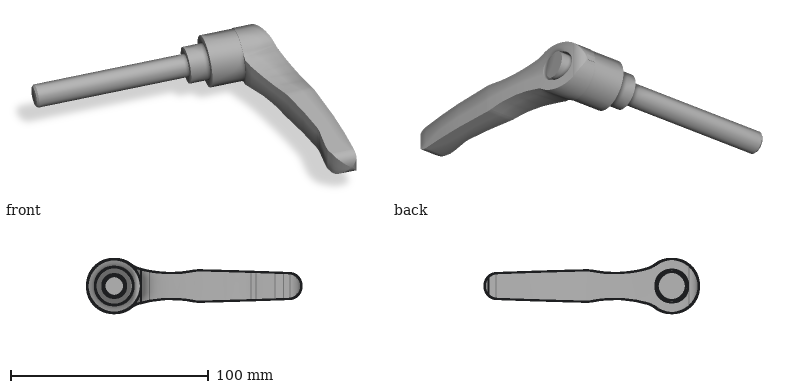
import cadquery as cq

HUB_DIAMETER = 27.0
HEAD_DIAMETER = 27.5
HEAD_RADIUS = HEAD_DIAMETER / 2
HUB_HEIGHT = 17.3
HUB_BORE_DIAMETER = 19.5
HUB_BORE_DEPTH = 10.0

COLLAR_DIAMETER = 19.0
COLLAR_LENGTH = 10.0
STUD_DIAMETER = 12.0
STUD_CHAMFER = 1.0
OVERALL_LENGTH = 142.7
OVERALL_WIDTH = 108.5

SCREW_HEAD_DIAMETER = 14.3
SCREW_HEAD_TOP = 33.1
HEAD_POCKET_DIAMETER = 16.5

TIP_X = OVERALL_WIDTH - HEAD_RADIUS
TIP_Y = 52.6
TIP_START_X = 88.7
TIP_HALF_WIDTH = 6.5
GRIP_START_X = 41.0
GRIP_FLAT_LENGTH = 2.9
GRIP_FLAT_END_X = GRIP_START_X + GRIP_FLAT_LENGTH
GRIP_HALF_WIDTH = 8.0
NECK_FILLET = 7.1
STUD_END_Y = TIP_Y - OVERALL_LENGTH


def cylinder(diameter, start_y, end_y):
    """Cylinder on the screw axis between two heights."""
    return (
        cq.Workplane("XZ", origin=(0, start_y, 0))
        .circle(diameter / 2)
        .extrude(start_y - end_y)
    )


def lever_side_profile():
    """Curved lever outline in XY, extruded past both sides of the head."""
    return (
        cq.Workplane("XY")
        .moveTo(-HEAD_RADIUS, HUB_HEIGHT)
        .lineTo(-HEAD_RADIUS, 22.3)
        .threePointArc((-12.3, 25.4), (-8.7, 27.5))
        .threePointArc((GRIP_START_X, 44.4), (TIP_START_X, 52.4))
        .lineTo(92.7, TIP_Y)
        .threePointArc((94.2, 51.4), (TIP_X, 49.1))
        .threePointArc((93.2, 44.2), (TIP_START_X, 40.7))
        .lineTo(85.5, 39.4)
        .lineTo(81.2, 39.1)
        .lineTo(71.6, 39.1)
        .lineTo(69.0, 38.7)
        .threePointArc((GRIP_START_X, 29.8), (17.8, 19.1))
        .lineTo(HUB_DIAMETER / 2, HUB_HEIGHT)
        .close()
        .extrude(HEAD_DIAMETER, both=True)
    )


def lever_plan():
    """Round head and waisted arm with a round tip, extruded along Y."""
    neck_x = 9.7
    neck_half_width = 9.7
    waist_x = 28.5
    waist_half_width = 6.5
    grip_start_half_width = 7.8
    grip_middle_x = 66.3
    grip_middle_half_width = 7.35
    flat_middle_x = GRIP_START_X + GRIP_FLAT_LENGTH / 2
    arm = (
        cq.Workplane("XZ")
        .moveTo(0, -neck_half_width)
        .lineTo(neck_x, -neck_half_width)
        .threePointArc((waist_x, -waist_half_width), (GRIP_START_X, -grip_start_half_width))
        .threePointArc((flat_middle_x, -GRIP_HALF_WIDTH), (GRIP_FLAT_END_X, -GRIP_HALF_WIDTH))
        .threePointArc((grip_middle_x, -grip_middle_half_width), (TIP_START_X, -TIP_HALF_WIDTH))
        .threePointArc((TIP_X, 0), (TIP_START_X, TIP_HALF_WIDTH))
        .threePointArc((grip_middle_x, grip_middle_half_width), (GRIP_FLAT_END_X, GRIP_HALF_WIDTH))
        .threePointArc((flat_middle_x, GRIP_HALF_WIDTH), (GRIP_START_X, grip_start_half_width))
        .threePointArc((waist_x, waist_half_width), (neck_x, neck_half_width))
        .lineTo(0, neck_half_width)
        .close()
        .extrude(-OVERALL_LENGTH)
    )
    plan = arm.union(cylinder(HEAD_DIAMETER, 0, OVERALL_LENGTH))
    neck_corners = cq.selectors.BoxSelector(
        (neck_x - 1.4, 0, -HEAD_RADIUS), (neck_x + 1.4, OVERALL_LENGTH, HEAD_RADIUS)
    )
    return plan.edges("|Y").edges(neck_corners).fillet(NECK_FILLET)


def pointer_flats():
    """Two flats level with the hub that leave a narrow pointer between them."""
    pointer_half_width = 0.5
    flat_edge = 2.9
    flat_width = flat_edge - pointer_half_width
    flat_top = 22.1
    flat_height = flat_top - HUB_HEIGHT
    depth = (HEAD_DIAMETER - HUB_DIAMETER) / 2
    flat = cq.Workplane("XY").box(depth, flat_height, flat_width, centered=False)
    lower = flat.translate((-HEAD_RADIUS, HUB_HEIGHT, -flat_edge))
    upper = flat.translate((-HEAD_RADIUS, HUB_HEIGHT, pointer_half_width))
    return lower.union(upper)


lever = lever_side_profile().intersect(lever_plan()).cut(pointer_flats())
body = cylinder(HUB_DIAMETER, 0, HUB_HEIGHT).union(lever)
body = body.cut(cylinder(HUB_BORE_DIAMETER, 0, HUB_BORE_DEPTH))
body = body.cut(cylinder(HEAD_POCKET_DIAMETER, HUB_HEIGHT, TIP_Y))

insert = cylinder(COLLAR_DIAMETER, -COLLAR_LENGTH, HUB_BORE_DEPTH)
stud = cylinder(STUD_DIAMETER, STUD_END_Y, 0).faces("<Y").chamfer(STUD_CHAMFER)
screw_head = cylinder(SCREW_HEAD_DIAMETER, HUB_HEIGHT, SCREW_HEAD_TOP)

result = body.union(insert).union(stud).union(screw_head)